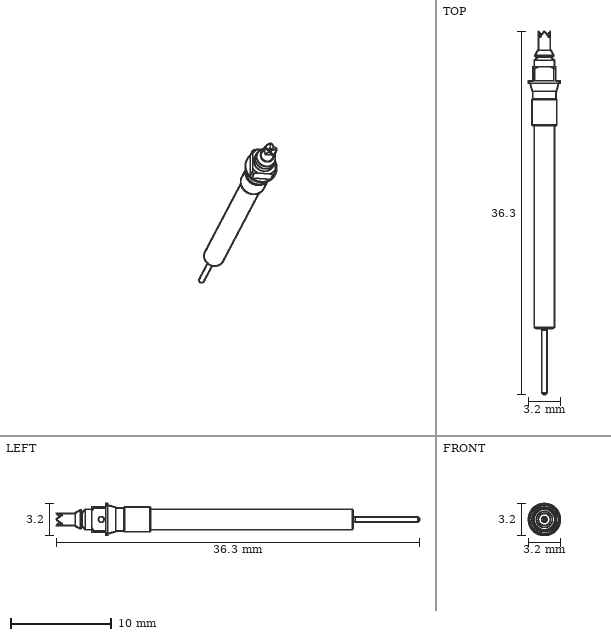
import cadquery as cq
import math


plunger_radius = 0.61
crown_tip_y = 4.95
crown_notch_depth = 0.6

plunger_base_y = 3.05
bead_base_radius = 0.67
bead_radius = 0.95
bead_front_y = 2.54
bead_rear_y = 2.46
groove_radius = 0.65
groove_y = 2.37

neck_radius = 1.03
neck_front_y = 2.05

flange_radius = 1.6
flange_thickness = 0.22
cone_front_radius = 1.44
cone_rear_radius = 1.22
cone_rear_y = -1.02

block_length = 1.42
block_width = 2.28
block_height = 2.56
block_chamfer_length = 0.2
block_front_radius = 1.41
dimple_radius = 0.28
dimple_depth = 0.2
dimple_y = 0.45

waist_radius = 1.17
sleeve_radius = 1.25
sleeve_front_y = -1.8
sleeve_rear_y = -4.5
sleeve_chamfer = 0.1

tube_radius = 1.03
tube_end_y = -24.75
tube_end_chamfer_length = 0.12
tube_end_radius = 0.8
tube_bore_radius = 0.6
tube_bore_depth = 0.1

overall_length = 36.3
pin_radius = 0.27
pin_neck_radius = 0.25
pin_neck_end_y = tube_end_y - 0.17
pin_end_y = crown_tip_y - overall_length
pin_chamfer = 0.06
pin_point_length = 0.13
pin_point_radius = 0.07


def make_turned_body():
    """Revolve the stepped half outline, given as (radius, y), about the Y axis."""
    outline = [
        (0, crown_tip_y),
        (plunger_radius, crown_tip_y),
        (plunger_radius, plunger_base_y),
        (bead_base_radius, plunger_base_y),
        (bead_radius, bead_front_y),
        (bead_radius, bead_rear_y),
        (groove_radius, groove_y),
        (neck_radius, neck_front_y),
        (neck_radius, 0),
        (flange_radius, 0),
        (flange_radius, -flange_thickness),
        (cone_front_radius, -flange_thickness),
        (cone_rear_radius, cone_rear_y),
        (waist_radius, cone_rear_y),
        (waist_radius, sleeve_front_y),
        (sleeve_radius, sleeve_front_y - sleeve_chamfer),
        (sleeve_radius, sleeve_rear_y + sleeve_chamfer),
        (sleeve_radius - sleeve_chamfer, sleeve_rear_y),
        (tube_radius, sleeve_rear_y),
        (tube_radius, tube_end_y + tube_end_chamfer_length),
        (tube_end_radius, tube_end_y),
        (tube_bore_radius, tube_end_y),
        (tube_bore_radius, tube_end_y + tube_bore_depth),
        (pin_neck_radius, tube_end_y + tube_bore_depth),
        (pin_neck_radius, pin_neck_end_y),
        (pin_radius, pin_neck_end_y),
        (pin_radius, pin_end_y + pin_point_length + pin_chamfer),
        (pin_radius - pin_chamfer, pin_end_y + pin_point_length),
        (pin_point_radius, pin_end_y),
        (0, pin_end_y),
    ]
    return cq.Workplane("XY").polyline(outline).close().revolve(360, (0, 0), (0, 1))


def make_wrench_block():
    """Rectangular block whose corners are turned round and tapered at the front."""
    block = cq.Workplane("XY").box(block_width, block_length, block_height)
    block = block.translate((0, block_length / 2, 0))
    envelope_outline = [
        (0, 0),
        (flange_radius, 0),
        (flange_radius, block_length - block_chamfer_length),
        (block_front_radius, block_length),
        (0, block_length),
    ]
    envelope = cq.Workplane("XY").polyline(envelope_outline).close().revolve(360, (0, 0), (0, 1))
    return block.intersect(envelope)


def make_dimple():
    """Conical recess in the -X face of the block."""
    cone = cq.Solid.makeCone(
        dimple_radius,
        0,
        dimple_depth,
        pnt=cq.Vector(-block_width / 2, dimple_y, 0),
        dir=cq.Vector(1, 0, 0),
    )
    return cq.Workplane(obj=cone)


def make_crown_notch(angle):
    """V groove across the plunger end, turned about Y by the given angle.

    Its half width is the distance from a crown point to the groove line, so the
    two crossed grooves meet in four sharp points on the rim.
    """
    half_width = plunger_radius * math.sin(math.radians(45))
    notch_outline = [
        (-half_width, crown_tip_y),
        (0, crown_tip_y - crown_notch_depth),
        (half_width, crown_tip_y),
    ]
    notch = cq.Workplane("XY").polyline(notch_outline).close().extrude(2 * plunger_radius, both=True)
    return notch.rotate((0, 0, 0), (0, 1, 0), angle)


result = make_turned_body().union(make_wrench_block()).cut(make_dimple())
for notch_angle in (45, 135):
    result = result.cut(make_crown_notch(notch_angle))